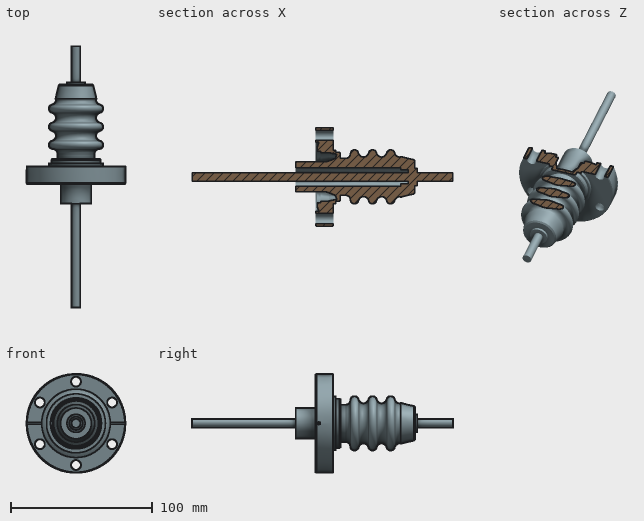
import cadquery as cq
import math


flange_radius = 69.85 / 2
flange_thickness = 12.7
front_chamfer_length = 1.0
front_chamfer_drop = 0.5
back_chamfer = 0.55
bolt_count = 6
bolt_circle_radius = 58.72 / 2
bolt_hole_radius = 3.4

recess_radius = 24.15
knife_radius = 20.8
knife_depth = 1.1
knife_angle = 20
recess_depth = knife_depth + (recess_radius - knife_radius) * math.tan(math.radians(knife_angle))

slot_width = 1.6
slot_depth = 3.5

flange_bore_radius = 18.0
flange_bore_depth = 3.6
adapter_bore_radius = 16.9
adapter_taper_start = 9.5
adapter_bore_end_radius = 15.8
adapter_floor_radius = 13.2
adapter_floor_y = 14.0
adapter_floor_angle = 20
adapter_flange_radius = 19.1
adapter_flange_end = flange_thickness + 1.85
adapter_radius = 17.4
adapter_end = flange_thickness + 5.1
adapter_bevel_length = 0.9
adapter_bevel_drop = 0.5

rod_radius = 6.35 / 2
rod_length = 184.15
rod_front = -87.0
rod_back = rod_front + rod_length

tube_radius = 10.85
tube_front = -13.8
shoulder_length = 6.0
neck_radius = 13.2
rib_count = 3
rib_pitch = 12.75
first_rib_y = 27.6
rib_crest_radius = 19.2
rib_round = 3.0
neck_fillet_offset = 6.1
valley_radius = 14.15
rib_center_radius = rib_crest_radius - rib_round

cap_start = 60.2
cap_end = 70.3
cap_wide_radius = 14.5
cap_narrow_radius = 12.3
cap_edge_length = 1.0
cap_edge_drop = 1.0
washer_radius = 6.35
washer_end = 71.9

tube_bore_radius = 6.4
tube_bore_end = cap_start
cap_bore_radius = 4.7
cap_bore_end = cap_start + 5.0


def revolve_about_axis(profile):
    """Turn a closed (radius, Y) outline about the Y axis."""
    return profile.close().revolve(360, (0, 0, 0), (0, 1, 0))


def cylinder(radius, start, end):
    """A cylinder on the Y axis between two Y positions."""
    return revolve_about_axis(
        cq.Workplane("XY").moveTo(0, start).lineTo(radius, start).lineTo(radius, end).lineTo(0, end)
    )


def make_flange():
    """Flange disc with both rims beveled."""
    front_radius = flange_radius - front_chamfer_drop
    back_radius = flange_radius - back_chamfer
    return revolve_about_axis(
        cq.Workplane("XY")
        .moveTo(0, 0)
        .lineTo(front_radius, 0)
        .lineTo(flange_radius, front_chamfer_length)
        .lineTo(flange_radius, flange_thickness - back_chamfer)
        .lineTo(back_radius, flange_thickness)
        .lineTo(0, flange_thickness)
    )


def make_adapter():
    """Stepped collar with a beveled end, welded to the back of the flange."""
    collar = cylinder(adapter_flange_radius, flange_thickness, adapter_flange_end)
    sleeve = revolve_about_axis(
        cq.Workplane("XY")
        .moveTo(0, flange_thickness)
        .lineTo(adapter_radius, flange_thickness)
        .lineTo(adapter_radius, adapter_end - adapter_bevel_length)
        .lineTo(adapter_radius - adapter_bevel_drop, adapter_end)
        .lineTo(0, adapter_end)
    )
    return collar.union(sleeve)


def cut_knife_recess(body):
    """Open the sealing face down to the knife edge, whose outer flank is conical."""
    return body.cut(
        revolve_about_axis(
            cq.Workplane("XY")
            .moveTo(0, 0)
            .lineTo(recess_radius, 0)
            .lineTo(recess_radius, recess_depth)
            .lineTo(knife_radius, knife_depth)
            .lineTo(0, knife_depth)
        )
    )


def cut_bore(body):
    """Stepped bore through the flange, closed by a conical floor inside the adapter."""
    floor_width = adapter_bore_end_radius - adapter_floor_radius
    floor_rise = floor_width * math.tan(math.radians(adapter_floor_angle))
    return body.cut(
        revolve_about_axis(
            cq.Workplane("XY")
            .moveTo(0, 0)
            .lineTo(flange_bore_radius, 0)
            .lineTo(flange_bore_radius, flange_bore_depth)
            .lineTo(adapter_bore_radius, flange_bore_depth)
            .lineTo(adapter_bore_radius, adapter_taper_start)
            .lineTo(adapter_bore_end_radius, adapter_floor_y + floor_rise)
            .lineTo(adapter_floor_radius, adapter_floor_y)
            .lineTo(0, adapter_floor_y)
        )
    )


def cut_leak_slots(body):
    """Two opposite slots from the recess to the rim, their floors curving down to the rim."""
    run = flange_radius - recess_radius
    drop = slot_depth - recess_depth
    floor_curve = (run**2 + drop**2) / (2 * drop)
    half_angle = math.asin(run / floor_curve) / 2
    middle_radius = flange_radius - floor_curve * math.sin(half_angle)
    middle_depth = slot_depth - floor_curve * (1 - math.cos(half_angle))
    for side in (-1, 1):
        slot = (
            cq.Workplane("XY")
            .moveTo(side * recess_radius, 0)
            .lineTo(side * recess_radius, recess_depth)
            .threePointArc((side * middle_radius, middle_depth), (side * flange_radius, slot_depth))
            .lineTo(side * flange_radius, 0)
            .close()
            .extrude(slot_width / 2, both=True)
        )
        body = body.cut(slot)
    return body


def cut_bolt_holes(body):
    """Bolt holes around the flange, one of them straight up."""
    for index in range(bolt_count):
        angle = math.radians(90 + index * 360 / bolt_count)
        hole = cylinder(bolt_hole_radius, 0, flange_thickness).translate(
            (bolt_circle_radius * math.cos(angle), 0, bolt_circle_radius * math.sin(angle))
        )
        body = body.cut(hole)
    return body


def tangent_point(rib_y, round_y, round_center_radius):
    """Point where a rib's crest arc meets a hollow arc centered at the given place."""
    along = round_y - rib_y
    outward = round_center_radius - rib_center_radius
    scale = rib_round / math.hypot(along, outward)
    return (rib_center_radius + outward * scale, rib_y + along * scale)


def make_ceramic():
    """Tube, shoulder, neck and ribs of the insulator as one turned outline."""
    half_pitch = rib_pitch / 2
    reach = valley_radius - rib_center_radius
    valley_round = (half_pitch**2 + reach**2 - rib_round**2) / (2 * (rib_round - reach))
    valley_center_radius = valley_radius + valley_round

    neck_fillet_start = first_rib_y - neck_fillet_offset
    reach = neck_radius - rib_center_radius
    neck_fillet = (neck_fillet_offset**2 + reach**2 - rib_round**2) / (2 * (rib_round - reach))

    shoulder_start = adapter_floor_y - shoulder_length
    outline = (
        cq.Workplane("XY")
        .moveTo(0, tube_front)
        .lineTo(tube_radius, tube_front)
        .lineTo(tube_radius, shoulder_start)
        .lineTo(neck_radius, adapter_floor_y)
        .lineTo(neck_radius, neck_fillet_start)
        .radiusArc(tangent_point(first_rib_y, neck_fillet_start, neck_radius + neck_fillet), neck_fillet)
    )
    for index in range(rib_count):
        rib_y = first_rib_y + index * rib_pitch
        valley_y = rib_y + half_pitch
        rib_leave = tangent_point(rib_y, valley_y, valley_center_radius)
        outline = outline.threePointArc((rib_crest_radius, rib_y), rib_leave)
        outline = outline.radiusArc((valley_radius, valley_y), valley_round)
        if index < rib_count - 1:
            next_touch = tangent_point(rib_y + rib_pitch, valley_y, valley_center_radius)
            outline = outline.radiusArc(next_touch, valley_round)
    return revolve_about_axis(outline.lineTo(valley_radius, cap_start).lineTo(0, cap_start))


def make_cap():
    """Tapered metal cap with a beveled end, and the washer on it."""
    cap = revolve_about_axis(
        cq.Workplane("XY")
        .moveTo(0, cap_start)
        .lineTo(cap_wide_radius, cap_start)
        .lineTo(cap_narrow_radius, cap_end - cap_edge_length)
        .lineTo(cap_narrow_radius - cap_edge_drop, cap_end)
        .lineTo(0, cap_end)
    )
    return cap.union(cylinder(washer_radius, cap_end, washer_end))


flange = make_flange().union(make_adapter())
flange = cut_bolt_holes(cut_leak_slots(cut_bore(cut_knife_recess(flange))))
insulator = make_ceramic().union(make_cap())
body = flange.union(insulator)
body = body.cut(cylinder(tube_bore_radius, tube_front, tube_bore_end))
body = body.cut(cylinder(cap_bore_radius, tube_bore_end, cap_bore_end))
result = body.union(cylinder(rod_radius, rod_front, rod_back))